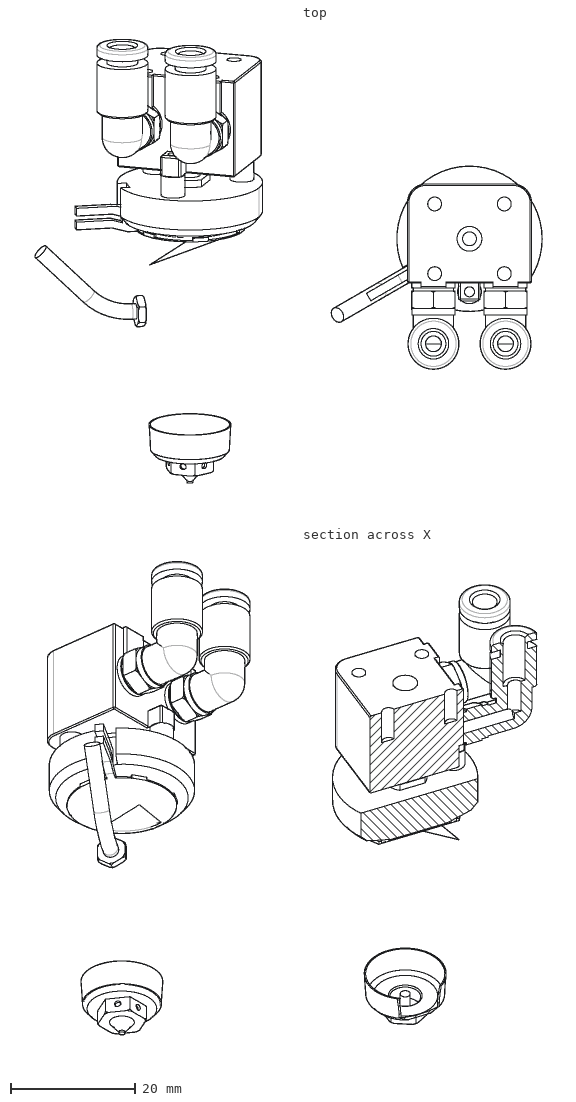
import cadquery as cq
import math


BLOCK_WIDTH = 20.0
BLOCK_BACK = 8.85
BLOCK_FRONT = -7.15
BLOCK_BOTTOM = 53.7
BLOCK_TOP = 69.7
BLOCK_CORNER_RADIUS = 3.0
BLOCK_EDGE = 0.2
MOUNT_HOLE_DIA = 2.2
MOUNT_HOLE_SPACING = 11.2
MOUNT_HOLE_DEPTH = 6.15
AIR_HOLE_DIA = 4.0
AIR_HOLE_DEPTH = 7.7
EAR_WIDTH = 3.45
EAR_FRONT = -10.0
EAR_TOP = 57.05
EAR_CHAMFER = 0.3
EAR_HOLE_DIA = 1.6
PORT_DEPTH = 0.8
PORT_DIA = 7.0
RIDGE_WIDTH = 4.0
PORT_FACE = BLOCK_FRONT - PORT_DEPTH
FRONT_ROOT = BLOCK_FRONT + 0.8

FITTING_SPACING = 11.6
FITTING_Y = -16.9
FITTING_Z = 61.5
FITTING_TOP = 76.9
RELEASE_RING_DIA = 8.2
RELEASE_RING_BOTTOM = 75.3
RELEASE_RING_ROUND = 0.45
NECK_DIA = 5.0
SLEEVE_TOP = 74.0
SLEEVE_BOTTOM = 65.7
SLEEVE_CHAMFER = 0.3
ELBOW_DIA = 6.5
COLLAR_DIA = 7.0
COLLAR_FRONT = -12.3
FITTING_HEX_FLATS = 7.0
FITTING_HEX_BACK = -8.4
SEAT_DIA = 6.5
FITTING_HEX_FRONT = -11.2
TUBE_SOCKET_DIA = 4.0
TUBE_SOCKET_DEPTH = 9.2
SOCKET_CHAMFER = 0.45
FITTING_BORE_DIA = 2.5

DISC_RADIUS = 11.73
DISC_TOP = 50.2
DISC_EDGE_Z = 45.4
DISC_CHAMFER_RADIUS = 10.7
DISC_CHAMFER_Z = 44.1
DISC_FLOOR_RADIUS = 7.15
POST_DIA = 3.85
POST_CIRCLE_RADIUS = 8.5
POST_ANGLES = (30, 150, 270)
STEM_DIA = 3.2
FLANGE_DIA = 7.0
FLANGE_WIDTH = 5.4
FLANGE_HEIGHT = 1.15
SLOT_WIDTH = 2.7
SLOT_RADIUS = 10.6
SLOT_LIP_RADIUS = 10.2
SLOT_LIP_HEIGHT = 1.0

SIDE_ANGLE = 210.0
CLIP_RADIUS = 8.85
CLIP_BOTTOM = 42.6
CLIP_THICKNESS = 0.2
CLIP_TOP = CLIP_BOTTOM + CLIP_THICKNESS
TAB_COUNT = 6
TAB_WIDTH = 2.5
TAB_THICKNESS = 0.45
TAB_TOP = 43.2
PRONG_WIDTH = 1.4
PRONG_HEIGHT = 1.3
PRONG_END = 18.8
PRONG_BEND = 12.9
PRONG_SLOPE = 0.3
UPPER_PRONG_TOP_SLOPE = 0.1
LOWER_PRONG_TOP = 44.7
UPPER_PRONG_TOP = 47.0
PRONG_WEB = 0.6
SPIKE_APEX = (-4.4, -7.5, 37.9)
SPIKE_CHORD_DISTANCE = 7.15
SPIKE_CHORD_ANGLE = 30.0
SPIKE_TIP_SCALE = 0.01

WIRE_DIA = 2.5
WIRE_Z = 29.1
WIRE_BEND_RADIUS = 10.0
WIRE_BEND_ANGLE = 45.0
WIRE_BEND_START = 9.6
WIRE_STRAIGHT = 11.15
NUT_INNER = 7.6
NUT_OUTER = 8.9
NUT_FLATS = 4.5
HEX_CHAMFER = 0.2

CUP_TOP = 9.7
CUP_TOP_RADIUS = 6.6
CUP_LOW_RADIUS = 6.4
CUP_EDGE_Z = 5.5
CUP_BOTTOM_RADIUS = 5.6
CUP_BOTTOM_Z = 4.6
CUP_WALL = 0.2
CUP_FLOOR_RADIUS = 5.2
CUP_FLOOR_Z = 5.15
NOZZLE_HEX_FLATS = 7.0
NOZZLE_HEX_BOTTOM = 2.1
NOZZLE_CONE_DIA = 4.0
NOZZLE_TIP_DIA = 1.0
NOZZLE_TIP_HEIGHT = 0.3
NOZZLE_WELL_DIA = 5.0
NOZZLE_WELL_CHAMFER = 0.2
NOZZLE_WELL_Z = 2.7
NOZZLE_PIN_DIA = 1.6
NOZZLE_PIN_TOP = 5.5
DIMPLE_DIA = 1.0
DIMPLE_DEPTH = 0.45
DIMPLE_Z = 3.5
DIMPLE_ANGLES = (210, 270, 330)


def cylinder(diameter, bottom, top, x=0, y=0):
    """Upright cylinder between two heights."""
    base = cq.Workplane("XY", origin=(x, y, bottom))
    return base.circle(diameter / 2).extrude(top - bottom)


def cylinder_along_y(diameter, front, back, x, z):
    """Cylinder parallel to Y between two Y positions, front being the lower one."""
    base = cq.Workplane("XZ", origin=(x, back, z))
    return base.circle(diameter / 2).extrude(back - front)


def box_between(x_range, y_range, z_range):
    """Box given by its lowest and highest X, Y and Z."""
    (x0, x1), (y0, y1), (z0, z1) = x_range, y_range, z_range
    corner = cq.Workplane("XY", origin=(x0, y0, z0))
    return corner.box(x1 - x0, y1 - y0, z1 - z0, centered=False)


def chamfered_hex(flats, height):
    """Hexagon prism on the XY plane, corners along X, with its corners turned off at both ends."""
    corners = flats / math.cos(math.radians(30))
    prism = cq.Workplane("XY").polygon(6, corners).extrude(height)
    turned = cq.Workplane("XY").circle(corners / 2).extrude(height)
    return prism.intersect(turned.edges().chamfer(HEX_CHAMFER))


def revolved(points):
    """Solid of revolution about Z from (radius, height) points."""
    return cq.Workplane("XZ").polyline(points).close().revolve(360, (0, 0), (0, 1))


def make_block():
    half_width = BLOCK_WIDTH / 2
    block = box_between((-half_width, half_width), (BLOCK_FRONT, BLOCK_BACK), (BLOCK_BOTTOM, BLOCK_TOP))
    block = block.edges("|Z and >Y").fillet(BLOCK_CORNER_RADIUS)
    block = block.edges("|Z and <Y").chamfer(BLOCK_EDGE)
    block = block.faces("<Z or >Z").edges().chamfer(BLOCK_EDGE)

    for x in (-FITTING_SPACING / 2, FITTING_SPACING / 2):
        block = block.union(cylinder_along_y(PORT_DIA, PORT_FACE, FRONT_ROOT, x, FITTING_Z))
        ridge = box_between(
            (x - RIDGE_WIDTH / 2, x + RIDGE_WIDTH / 2),
            (PORT_FACE, FRONT_ROOT),
            (FITTING_Z, BLOCK_TOP),
        )
        block = block.union(ridge.edges(">Z and <Y").chamfer(BLOCK_EDGE))

    ear = box_between(
        (-EAR_WIDTH / 2, EAR_WIDTH / 2), (EAR_FRONT, FRONT_ROOT), (BLOCK_BOTTOM, EAR_TOP)
    )
    ear = ear.edges("(>Z and (not >Y)) or (|Z and <Y)").chamfer(EAR_CHAMFER)
    block = block.union(ear)
    block = block.cut(cylinder(EAR_HOLE_DIA, BLOCK_BOTTOM, EAR_TOP, 0, -POST_CIRCLE_RADIUS))

    top = block.faces(">Z").workplane(origin=(0, 0, BLOCK_TOP))
    block = top.cboreHole(MOUNT_HOLE_DIA, AIR_HOLE_DIA, AIR_HOLE_DEPTH)
    top = block.faces(">Z").workplane(origin=(0, 0, BLOCK_TOP))
    return top.rarray(MOUNT_HOLE_SPACING, MOUNT_HOLE_SPACING, 2, 2).hole(MOUNT_HOLE_DIA, MOUNT_HOLE_DEPTH)


def make_fitting(x):
    elbow = cylinder(ELBOW_DIA, FITTING_Z, SLEEVE_BOTTOM, x, FITTING_Y)
    sleeve = cylinder(RELEASE_RING_DIA, SLEEVE_BOTTOM, SLEEVE_TOP, x, FITTING_Y)
    neck = cylinder(NECK_DIA, SLEEVE_TOP, RELEASE_RING_BOTTOM, x, FITTING_Y)
    ring = cylinder(RELEASE_RING_DIA, RELEASE_RING_BOTTOM, FITTING_TOP, x, FITTING_Y)
    fitting = elbow.union(sleeve.faces("<Z").edges().chamfer(SLEEVE_CHAMFER)).union(neck)
    fitting = fitting.union(ring.faces(">Z").edges().fillet(RELEASE_RING_ROUND))

    corner = cq.Workplane("XY", origin=(x, FITTING_Y, FITTING_Z)).sphere(ELBOW_DIA / 2)
    hexagon = chamfered_hex(FITTING_HEX_FLATS, FITTING_HEX_BACK - FITTING_HEX_FRONT)
    hexagon = hexagon.rotate((0, 0, 0), (0, 0, 1), 30).rotate((0, 0, 0), (1, 0, 0), 90)
    fitting = fitting.union(corner)
    fitting = fitting.union(cylinder_along_y(ELBOW_DIA, FITTING_Y, COLLAR_FRONT, x, FITTING_Z))
    fitting = fitting.union(cylinder_along_y(COLLAR_DIA, COLLAR_FRONT, FITTING_HEX_FRONT, x, FITTING_Z))
    fitting = fitting.union(hexagon.translate((x, FITTING_HEX_BACK, FITTING_Z)))
    fitting = fitting.union(cylinder_along_y(SEAT_DIA, FITTING_HEX_BACK, PORT_FACE, x, FITTING_Z))

    socket = cylinder(TUBE_SOCKET_DIA, FITTING_TOP - TUBE_SOCKET_DEPTH, FITTING_TOP, x, FITTING_Y)
    socket_radius = TUBE_SOCKET_DIA / 2
    cone = cq.Solid.makeCone(socket_radius, socket_radius + SOCKET_CHAMFER, SOCKET_CHAMFER)
    countersink = cone.translate(cq.Vector(x, FITTING_Y, FITTING_TOP - SOCKET_CHAMFER))
    fitting = fitting.cut(socket).cut(countersink)
    fitting = fitting.cut(cylinder(FITTING_BORE_DIA, FITTING_Z, FITTING_TOP, x, FITTING_Y))
    return fitting.cut(cylinder_along_y(FITTING_BORE_DIA, FITTING_Y, PORT_FACE, x, FITTING_Z))


def make_disc(clip):
    disc = revolved([
        (0, DISC_TOP),
        (DISC_RADIUS, DISC_TOP),
        (DISC_RADIUS, DISC_EDGE_Z),
        (DISC_CHAMFER_RADIUS, DISC_CHAMFER_Z),
        (DISC_FLOOR_RADIUS, CLIP_TOP),
        (0, CLIP_TOP),
    ])

    slot = box_between((0, 2 * DISC_RADIUS), (-SLOT_WIDTH / 2, SLOT_WIDTH / 2), (CLIP_BOTTOM, DISC_TOP))
    lip_bottom = DISC_TOP - SLOT_LIP_HEIGHT
    slot = slot.cut(cylinder(2 * SLOT_RADIUS, CLIP_BOTTOM, lip_bottom))
    slot = slot.cut(cylinder(2 * SLOT_LIP_RADIUS, lip_bottom, DISC_TOP))
    disc = disc.cut(slot.rotate((0, 0, 0), (0, 0, 1), SIDE_ANGLE))

    flange = cylinder(FLANGE_DIA, DISC_TOP, DISC_TOP + FLANGE_HEIGHT)
    flats = cq.Workplane("XY", origin=(0, 0, DISC_TOP)).rect(FLANGE_WIDTH, FLANGE_DIA).extrude(FLANGE_HEIGHT)
    disc = disc.union(flange.intersect(flats)).union(cylinder(STEM_DIA, DISC_TOP, BLOCK_BOTTOM))
    for angle in POST_ANGLES:
        x = POST_CIRCLE_RADIUS * math.cos(math.radians(angle))
        y = POST_CIRCLE_RADIUS * math.sin(math.radians(angle))
        disc = disc.union(cylinder(POST_DIA, DISC_TOP, BLOCK_BOTTOM, x, y))

    return disc.cut(clip)


def sloping_prong(top, inner_radius, top_slope):
    """Prong that is level outside the bend and falls towards the axis inside it."""
    run = PRONG_BEND - inner_radius
    points = [
        (PRONG_END, top),
        (PRONG_BEND, top),
        (inner_radius, top - top_slope * run),
        (inner_radius, top - PRONG_HEIGHT - PRONG_SLOPE * run),
        (PRONG_BEND, top - PRONG_HEIGHT),
        (PRONG_END, top - PRONG_HEIGHT),
    ]
    profile = cq.Workplane("XZ").polyline(points).close()
    return profile.extrude(PRONG_WIDTH / 2, both=True)


def make_spike():
    """Spike from a segment-shaped base under the clip to a skew apex."""
    half_chord = math.sqrt(CLIP_RADIUS**2 - SPIKE_CHORD_DISTANCE**2)
    turn = math.radians(SPIKE_CHORD_ANGLE)

    def segment(centre, scale):
        def place(x, y):
            px = centre[0] + scale * (x * math.cos(turn) - y * math.sin(turn))
            py = centre[1] + scale * (x * math.sin(turn) + y * math.cos(turn))
            return cq.Vector(px, py, centre[2])

        start = place(SPIKE_CHORD_DISTANCE, -half_chord)
        end = place(SPIKE_CHORD_DISTANCE, half_chord)
        arc = cq.Edge.makeThreePointArc(start, place(CLIP_RADIUS, 0), end)
        return cq.Wire.assembleEdges([arc, cq.Edge.makeLine(end, start)])

    base = segment((0, 0, CLIP_TOP), 1)
    tip = segment(SPIKE_APEX, SPIKE_TIP_SCALE)
    return cq.Workplane("XY").add(cq.Solid.makeLoft([base, tip], True))


def make_clip():
    clip = cylinder(2 * CLIP_RADIUS, CLIP_BOTTOM, CLIP_TOP)
    tab = box_between(
        (CLIP_RADIUS - TAB_THICKNESS, CLIP_RADIUS),
        (-TAB_WIDTH / 2, TAB_WIDTH / 2),
        (CLIP_BOTTOM, TAB_TOP),
    )
    for index in range(TAB_COUNT):
        clip = clip.union(tab.rotate((0, 0, 0), (0, 0, 1), index * 360 / TAB_COUNT))

    lower_inner = PRONG_BEND - (LOWER_PRONG_TOP - CLIP_TOP) / PRONG_SLOPE
    prongs = sloping_prong(LOWER_PRONG_TOP, lower_inner, PRONG_SLOPE)
    prongs = prongs.union(sloping_prong(UPPER_PRONG_TOP, SLOT_RADIUS, UPPER_PRONG_TOP_SLOPE))
    web_top = UPPER_PRONG_TOP - PRONG_HEIGHT
    web = box_between(
        (SLOT_RADIUS, SLOT_RADIUS + PRONG_WEB),
        (-PRONG_WIDTH / 2, PRONG_WIDTH / 2),
        (LOWER_PRONG_TOP - PRONG_HEIGHT, web_top),
    )
    prongs = prongs.union(web)
    below = cylinder(2 * PRONG_END, CLIP_BOTTOM - 2 * PRONG_HEIGHT, CLIP_BOTTOM)
    wall = cylinder(2 * SLOT_RADIUS, LOWER_PRONG_TOP, UPPER_PRONG_TOP)
    prongs = prongs.cut(below).cut(wall)
    clip = clip.union(prongs.rotate((0, 0, 0), (0, 0, 1), SIDE_ANGLE))
    return clip.union(make_spike())


def make_wire():
    angle = math.radians(WIRE_BEND_ANGLE)

    def bend_point(turned):
        r = WIRE_BEND_START + WIRE_BEND_RADIUS * math.sin(turned)
        return r, WIRE_Z + WIRE_BEND_RADIUS * (1 - math.cos(turned))

    bend_end = bend_point(angle)
    wire_end = (
        bend_end[0] + WIRE_STRAIGHT * math.cos(angle),
        bend_end[1] + WIRE_STRAIGHT * math.sin(angle),
    )
    path = (
        cq.Workplane("XZ")
        .moveTo(NUT_INNER, WIRE_Z)
        .lineTo(WIRE_BEND_START, WIRE_Z)
        .threePointArc(bend_point(angle / 2), bend_end)
        .lineTo(*wire_end)
    )
    wire = cq.Workplane("YZ", origin=(NUT_INNER, 0, WIRE_Z)).circle(WIRE_DIA / 2).sweep(path)
    nut = chamfered_hex(NUT_FLATS, NUT_OUTER - NUT_INNER).rotate((0, 0, 0), (0, 1, 0), 90)
    wire = wire.union(nut.translate((NUT_INNER, 0, WIRE_Z)))
    return wire.rotate((0, 0, 0), (0, 0, 1), SIDE_ANGLE)


def make_nozzle():
    nozzle = revolved([
        (0, CUP_FLOOR_Z),
        (CUP_FLOOR_RADIUS, CUP_FLOOR_Z),
        (CUP_LOW_RADIUS - CUP_WALL, CUP_EDGE_Z),
        (CUP_TOP_RADIUS - CUP_WALL, CUP_TOP),
        (CUP_TOP_RADIUS, CUP_TOP),
        (CUP_LOW_RADIUS, CUP_EDGE_Z),
        (CUP_BOTTOM_RADIUS, CUP_BOTTOM_Z),
        (0, CUP_BOTTOM_Z),
    ])
    hexagon = chamfered_hex(NOZZLE_HEX_FLATS, CUP_FLOOR_Z - NOZZLE_HEX_BOTTOM)
    nozzle = nozzle.union(hexagon.translate((0, 0, NOZZLE_HEX_BOTTOM)))
    cone = revolved([
        (0, NOZZLE_HEX_BOTTOM),
        (NOZZLE_CONE_DIA / 2, NOZZLE_HEX_BOTTOM),
        (NOZZLE_TIP_DIA / 2, NOZZLE_TIP_HEIGHT),
        (NOZZLE_TIP_DIA / 2, 0),
        (0, 0),
    ])
    nozzle = nozzle.union(cone)

    well_radius = NOZZLE_WELL_DIA / 2
    well = revolved([
        (0, CUP_FLOOR_Z),
        (well_radius + NOZZLE_WELL_CHAMFER, CUP_FLOOR_Z),
        (well_radius, CUP_FLOOR_Z - NOZZLE_WELL_CHAMFER),
        (well_radius, NOZZLE_WELL_Z),
        (0, NOZZLE_WELL_Z),
    ])
    nozzle = nozzle.cut(well)
    nozzle = nozzle.union(cylinder(NOZZLE_PIN_DIA, NOZZLE_WELL_Z, NOZZLE_PIN_TOP))

    dimple = cq.Workplane("YZ", origin=(NOZZLE_HEX_FLATS / 2 - DIMPLE_DEPTH, 0, DIMPLE_Z))
    dimple = dimple.circle(DIMPLE_DIA / 2).extrude(DIMPLE_DEPTH)
    for angle in DIMPLE_ANGLES:
        nozzle = nozzle.cut(dimple.rotate((0, 0, 0), (0, 0, 1), angle))
    return nozzle


block = make_block()
fittings = [make_fitting(x) for x in (-FITTING_SPACING / 2, FITTING_SPACING / 2)]
clip = make_clip()
disc = make_disc(clip)
wire = make_wire()
nozzle = make_nozzle()

bodies = [block, *fittings, disc, clip, wire, nozzle]
result = cq.Compound.makeCompound([body.solids().val() for body in bodies])